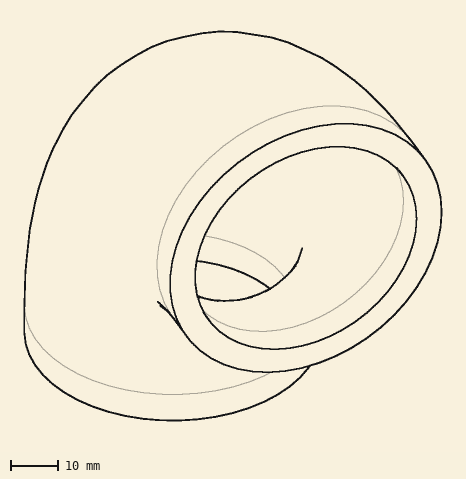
import cadquery as cq

overall_size = 101.5
outer_diameter = 63.0
bore_diameter = 51.4
collar_length = 7.0
bend_angle = 90

bend_radius = overall_size - collar_length - outer_diameter / 2


def elbow(diameter):
    """Solid round elbow rising from the bottom face and leaving toward +X."""
    lower_collar = cq.Workplane("XY").circle(diameter / 2).extrude(collar_length)
    bend = (
        cq.Workplane("XY", origin=(0, 0, collar_length))
        .circle(diameter / 2)
        .revolve(bend_angle, (bend_radius, 0, 0), (bend_radius, 1, 0))
    )
    side_collar = (
        cq.Workplane("YZ", origin=(bend_radius, 0, collar_length + bend_radius))
        .circle(diameter / 2)
        .extrude(collar_length)
    )
    return lower_collar.union(bend).union(side_collar)


result = elbow(outer_diameter).cut(elbow(bore_diameter))